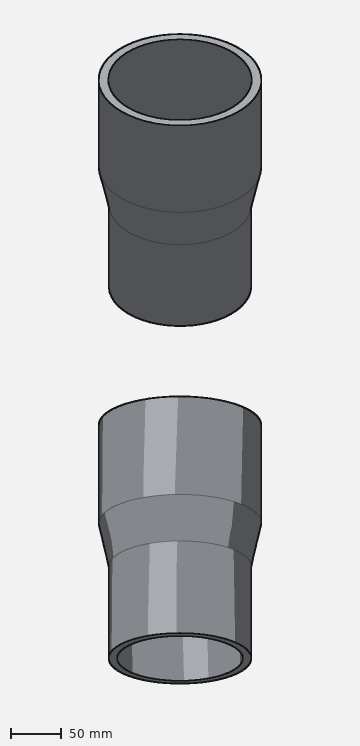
import cadquery as cq

total_height = 245.0
spigot_height = 97.0
taper_height = 45.0
taper_top = spigot_height + taper_height

wide_outer_radius = 160.0 / 2
wide_inner_radius = 140.9 / 2
narrow_outer_radius = 140.1 / 2
narrow_inner_radius = 123.5 / 2


def reducer_solid(narrow_radius, wide_radius):
    """Solid of revolution: narrow cylinder, conical taper, wide cylinder."""
    profile = (
        cq.Workplane("XZ")
        .lineTo(narrow_radius, 0)
        .lineTo(narrow_radius, spigot_height)
        .lineTo(wide_radius, taper_top)
        .lineTo(wide_radius, total_height)
        .lineTo(0, total_height)
        .close()
    )
    return profile.revolve(360, (0, 0, 0), (0, 1, 0))


body = reducer_solid(narrow_outer_radius, wide_outer_radius)
bore = reducer_solid(narrow_inner_radius, wide_inner_radius)
result = body.cut(bore)